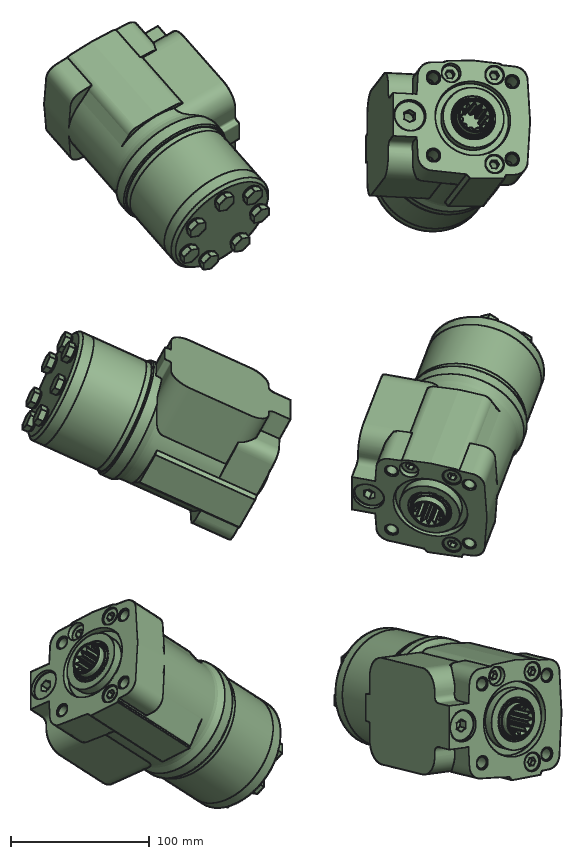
import cadquery as cq
import math


boss_front_x = 5.0
face_x = 7.4
plate_end_x = 37.9
pads_end_x = 88.0
flare_start_x = 94.5
flange_end_x = 111.6
ring_start_x = 115.7
cap_start_x = 158.3
cap_end_x = 169.1
overall_length = 175.3
overall_width = 103.5

barrel_radius = 84.3 / 2
flange_radius = 90.0 / 2
flare_root = (97.0, 42.6)
flare_tip = (101.0, 44.5)
flange_round_end_x = 102.0
flange_chamfer = 1.0

plate_flat_half_width = 4.2
plate_flat_reach = 41.9
plate_corner_reach = 39.8
plate_corner_radius = 10.2

roof_ridge_z = 43.3
roof_edge = (18.4, 42.0)
roof_round_mid = (22.5, 40.1)
roof_round_end = (24.7, 37.0)
roof_foot = (31.0, 28.4)

lower_pad_outline = [
    (4.7, -41.9), (2.1, -44.7), (-23.5, -43.5), (-23.8, -41.9),
    (-24.7, -40.8), (-36.0, -21.9), (0, 0), (4.7, 0),
]

block_top_y = overall_width - flange_radius
block_half_height = 39.0
block_front_x = 24.9
block_rear_x = 103.8
block_edge_radius = 15.2
nose_half_height = 16.04
nose_root_radius = 4.5
rear_nose_half_height = 10.0
rear_nose_end_x = 108.7
rear_nose_root_radius = 1.8
rear_nose_edge_radius = 1.2

boss_diameter = 44.7
recess_diameter = 54.5
recess_depth = 5.3
recess_rim_diameter = 55.2
recess_rim_depth = 1.8
sleeve_diameter = 25.5
sleeve_shoulder_diameter = 27.2
seal_seat_diameter = 32.2
seal_seat_depth = 0.9
seal_mouth_diameter = 29.6
seal_cone_depth = 2.6

mount_hole_offset = 29.0
mount_hole_diameter = 8.5
mount_hole_chamfer = 0.9
mount_hole_depth = 21.0
drill_point_angle = 118.0

screw_circle_radius = 36.8
screw_angle = 25.7
screw_rim_diameter = 14.0
screw_head_diameter = 13.0
screw_socket_flats = 6.0
screw_socket_depth = 4.4
screw_rim_depth = 0.5
screw_head_depth = 0.9
deep_screw_rim_depth = 2.0
deep_screw_head_depth = 3.9

plug_y = 46.1
plug_recess_diameter = 23.0
plug_head_diameter = 22.0
plug_recess_depth = 2.1
plug_gap_depth = 0.9
plug_socket_flats = 8.0
plug_socket_depth = 7.0

sleeve_shoulder_x = 5.3
sleeve_end_x = 52.5
sleeve_chamfer_length = 1.8
sleeve_chamfer_height = 0.5
mouth_diameter = 22.0
spline_teeth = 12
spline_tip_radius = 8.2
spline_root_radius = 10.2
spline_gap_mouth_width = 3.3
spline_gap_root_width = 1.0
spline_end_x = 28.0

rear_diameter = 86.0
cap_chamfer = 2.3
bolt_count = 7
bolt_circle_radius = 31.9
bolt_flats = 13.0
neck_diameter = 12.5
neck_end_x = 169.8
collar_diameter = 13.0
collar_end_x = 170.4


def yz_plane(x):
    """Section plane at station x: local x is Y, local y is Z, extrusion goes toward +X."""
    return cq.Workplane("YZ", origin=(x, 0, 0))


def disc(x_start, x_end, diameter, y=0.0, z=0.0):
    return yz_plane(x_start).center(y, z).circle(diameter / 2).extrude(x_end - x_start)


def ring(x_start, x_end, outer_diameter, inner_diameter, y=0.0, z=0.0):
    return disc(x_start, x_end, outer_diameter, y, z).cut(disc(x_start, x_end, inner_diameter, y, z))


def cone(x_start, x_end, start_radius, end_radius, y=0.0, z=0.0):
    profile = [(x_start, 0), (x_end, 0), (x_end, end_radius), (x_start, start_radius)]
    if end_radius == 0:
        profile.pop(2)
    turned = cq.Workplane("XY").polyline(profile).close().revolve(360, (0, 0, 0), (1, 0, 0))
    return turned.translate((0, y, z))


def hexagon(x_start, x_end, flats, y, z, turn):
    corners = flats / math.cos(math.pi / 6)
    prism = yz_plane(x_start).polygon(6, corners).extrude(x_end - x_start)
    return prism.rotate((0, 0, 0), (1, 0, 0), turn).translate((0, y, z))


def drill_point(x, diameter, y, z):
    length = diameter / 2 / math.tan(math.radians(drill_point_angle / 2))
    return cone(x, x + length, diameter / 2, 0, y, z)


def barrel():
    profile = (
        cq.Workplane("XY")
        .moveTo(face_x, 0)
        .lineTo(face_x, barrel_radius)
        .lineTo(flare_start_x, barrel_radius)
        .lineTo(*flare_root)
        .lineTo(*flare_tip)
        .lineTo(flange_round_end_x, flange_radius)
        .lineTo(flange_end_x - flange_chamfer, flange_radius)
        .lineTo(flange_end_x, flange_radius - flange_chamfer)
        .lineTo(flange_end_x, rear_diameter / 2)
        .lineTo(ring_start_x, rear_diameter / 2)
        .lineTo(ring_start_x, 0)
        .close()
    )
    return profile.revolve(360, (0, 0, 0), (1, 0, 0))


def mounting_plate():
    a = plate_flat_half_width
    b = plate_flat_reach
    c = plate_corner_reach
    outline = []
    for quarter in range(4):
        cosine = math.cos(quarter * math.pi / 2)
        sine = math.sin(quarter * math.pi / 2)
        for u, v in [(b, -a), (b, a), (c, c)]:
            outline.append((u * cosine - v * sine, u * sine + v * cosine))
    plate = yz_plane(face_x).polyline(outline).close().extrude(plate_end_x - face_x)
    corners = cq.selectors.BoxSelector(
        (face_x, -c - 0.2, -c - 0.2), (plate_end_x, -c + 0.2, -c + 0.2)
    )
    for sy, sz in [(1, -1), (1, 1), (-1, 1)]:
        corners = corners + cq.selectors.BoxSelector(
            (face_x, sy * c - 0.2, sz * c - 0.2), (plate_end_x, sy * c + 0.2, sz * c + 0.2)
        )
    return plate.edges("|X").edges(corners).fillet(plate_corner_radius)


def roof_pad():
    def mirrored(point):
        return (-point[0], point[1])

    outline = (
        yz_plane(face_x)
        .moveTo(0, roof_ridge_z)
        .lineTo(*roof_edge)
        .threePointArc(roof_round_mid, roof_round_end)
        .lineTo(*roof_foot)
        .lineTo(*mirrored(roof_foot))
        .lineTo(*mirrored(roof_round_end))
        .threePointArc(mirrored(roof_round_mid), mirrored(roof_edge))
        .close()
    )
    return outline.extrude(pads_end_x - face_x)


def lower_pad():
    return yz_plane(face_x).polyline(lower_pad_outline).close().extrude(pads_end_x - face_x)


def nose(x_start, x_end, half_height):
    box = cq.Workplane("XY").box(
        x_end - x_start, block_top_y, 2 * half_height, centered=(False, False, True)
    )
    return box.translate((x_start, 0, 0))


def root_edges(block, x, half_height):
    """Inner corners where a nose meets the block face at station x."""
    low = (x - 0.2, 0, -half_height - 0.2)
    high = (x + 0.2, block_top_y, half_height + 0.2)
    return block.edges("|Y").edges(cq.selectors.BoxSelector(low, high))


def port_block():
    h = block_half_height
    main = cq.Workplane("XZ").rect(block_rear_x - block_front_x, 2 * h).extrude(-block_top_y)
    main = main.translate(((block_front_x + block_rear_x) / 2, 0, 0)).edges("|Y").fillet(block_edge_radius)
    front_nose = nose(face_x, block_front_x, nose_half_height)
    rear_nose = nose(block_rear_x, rear_nose_end_x, rear_nose_half_height)
    rear_nose = rear_nose.edges("|Y and >X").fillet(rear_nose_edge_radius)
    block = main.union(front_nose).union(rear_nose)
    block = root_edges(block, block_front_x, nose_half_height).fillet(nose_root_radius)
    return root_edges(block, block_rear_x, rear_nose_half_height).fillet(rear_nose_root_radius)


def mount_hole(y, z):
    bottom_x = face_x + mount_hole_depth
    rim_radius = mount_hole_diameter / 2 + mount_hole_chamfer
    hole = disc(face_x, bottom_x, mount_hole_diameter, y, z)
    hole = hole.union(drill_point(bottom_x, mount_hole_diameter, y, z))
    return hole.union(cone(face_x, face_x + rim_radius, rim_radius, 0, y, z))


def hex_socket(x, depth, flats, y, z, turn):
    return hexagon(x, x + depth, flats, y, z, turn).union(drill_point(x + depth, flats, y, z))


def screw_cut(y, z, rim_depth, head_depth):
    """Tapered rim and recess above a sunk socket screw, and its hexagon socket."""
    rim_end_x = face_x + rim_depth
    head_x = face_x + head_depth
    cut = cone(face_x, rim_end_x, screw_rim_diameter / 2, screw_head_diameter / 2, y, z)
    cut = cut.union(disc(face_x, head_x, screw_head_diameter, y, z))
    return cut.union(hex_socket(head_x, screw_socket_depth, screw_socket_flats, y, z, 0))


def plug_cut():
    head_x = face_x + plug_recess_depth
    recess = disc(face_x, head_x, plug_recess_diameter, plug_y)
    gap = ring(head_x, head_x + plug_gap_depth, plug_recess_diameter, plug_head_diameter, plug_y)
    socket = hex_socket(head_x, plug_socket_depth, plug_socket_flats, plug_y, 0, 30)
    return recess.union(gap).union(socket)


def shaft_sleeve():
    radius = sleeve_diameter / 2
    shoulder_radius = sleeve_shoulder_diameter / 2
    profile = [
        (0, 0), (0, radius - sleeve_chamfer_height), (sleeve_chamfer_length, radius),
        (sleeve_shoulder_x, radius), (sleeve_shoulder_x, shoulder_radius),
        (sleeve_end_x, shoulder_radius), (sleeve_end_x, 0),
    ]
    sleeve = cq.Workplane("XY").polyline(profile).close().revolve(360, (0, 0, 0), (1, 0, 0))
    mouth_radius = mouth_diameter / 2
    mouth_length = mouth_radius - spline_tip_radius
    sleeve = sleeve.cut(cone(0, mouth_length, mouth_radius, spline_tip_radius))
    sleeve = sleeve.cut(disc(0, spline_end_x, 2 * spline_tip_radius))

    a = spline_gap_mouth_width / 2
    b = spline_gap_root_width / 2
    gap_outline = [(0, -a), (spline_tip_radius, -a), (spline_root_radius, -b)]
    gap_outline += [(u, -v) for u, v in reversed(gap_outline)]
    gap = yz_plane(0).polyline(gap_outline).close().extrude(spline_end_x)
    for tooth in range(spline_teeth):
        sleeve = sleeve.cut(gap.rotate((0, 0, 0), (1, 0, 0), tooth * 360 / spline_teeth))
    return sleeve


def make_housing():
    body = barrel().union(mounting_plate()).union(roof_pad()).union(lower_pad()).union(port_block())

    recess = disc(face_x, face_x + recess_depth, recess_diameter)
    recess_rim = cone(face_x, face_x + recess_rim_depth, recess_rim_diameter / 2, recess_diameter / 2)
    body = body.cut(recess.union(recess_rim))
    body = body.union(disc(boss_front_x, face_x + recess_depth, boss_diameter))

    seat_x = boss_front_x + seal_seat_depth
    cone_end_x = seat_x + seal_cone_depth
    body = body.cut(disc(boss_front_x, sleeve_end_x, sleeve_shoulder_diameter))
    body = body.cut(disc(boss_front_x, seat_x, seal_seat_diameter))
    body = body.cut(cone(seat_x, cone_end_x, seal_mouth_diameter / 2, sleeve_shoulder_diameter / 2))

    for sy in (1, -1):
        for sz in (1, -1):
            body = body.cut(mount_hole(sy * mount_hole_offset, sz * mount_hole_offset))

    screw_y = screw_circle_radius * math.sin(math.radians(screw_angle))
    screw_z = screw_circle_radius * math.cos(math.radians(screw_angle))
    body = body.cut(screw_cut(screw_y, screw_z, deep_screw_rim_depth, deep_screw_head_depth))
    body = body.cut(screw_cut(-screw_y, screw_z, screw_rim_depth, screw_head_depth))
    body = body.cut(screw_cut(-screw_y, -screw_z, screw_rim_depth, screw_head_depth))
    return body.cut(plug_cut()).union(shaft_sleeve())


def make_gear_ring():
    return disc(ring_start_x, cap_start_x, rear_diameter)


def make_end_cap():
    cap = disc(cap_start_x, cap_end_x, rear_diameter).faces(">X").chamfer(cap_chamfer)
    for index in range(bolt_count):
        angle = 2 * math.pi * index / bolt_count
        y = -bolt_circle_radius * math.sin(angle)
        z = bolt_circle_radius * math.cos(angle)
        cap = cap.union(disc(cap_start_x, neck_end_x, neck_diameter, y, z))
        cap = cap.union(disc(neck_end_x, collar_end_x, collar_diameter, y, z))
        cap = cap.union(hexagon(collar_end_x, overall_length, bolt_flats, y, z, 30))
    return cap


housing = make_housing()
gear_ring = make_gear_ring()
end_cap = make_end_cap()
result = cq.Compound.makeCompound([housing.val(), gear_ring.val(), end_cap.val()])